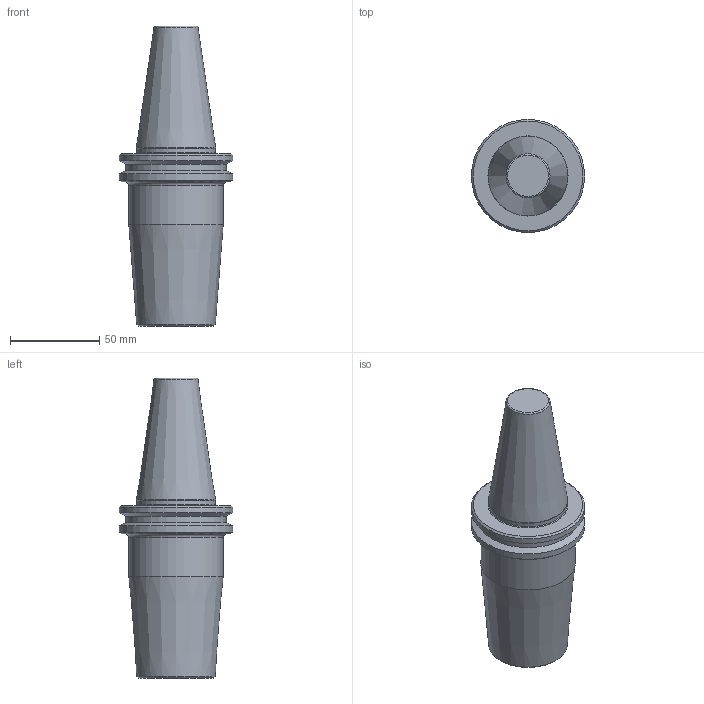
import cadquery as cq
import math

GAUGE_DIAMETER = 44.45
TAPER_RATIO = 7 / 24
TAPER_LENGTH = 68.4
TAPER_END_ROUND = 0.8

NECK_DIAMETER = 44.0
NECK_TOP_Z = -0.4
NECK_FILLET = 0.5

FLANGE_DIAMETER = 63.55
FLANGE_TOP_Z = -3.2
FLANGE_BOTTOM_Z = -19.1
FLANGE_CHAMFER = 1.0
GROOVE_CENTER_Z = -10.9
GROOVE_FLOOR_DIAMETER = 56.25
GROOVE_MOUTH_WIDTH = 7.2
GROOVE_WALL_ANGLE = 26.0

BODY_DIAMETER = 53.0
BODY_FILLET = 2.0
CONE_START_Z = -43.0
NOSE_END_Z = -100.0
NOSE_DIAMETER = 44.0
NOSE_CHAMFER = 0.8


def revolve_profile(points):
    """Turn a closed (radius, z) outline about the Z axis."""
    return cq.Workplane("XZ").polyline(points).close().revolve(360, (0, 0, 0), (0, 1, 0))


def start_flare(radius, fillet, face_z, direction):
    """Start an outline on the axis at a flange face and round it onto a shaft going up (1) or down (-1)."""
    fillet_middle = fillet * (1 - math.sqrt(0.5))
    return (
        cq.Workplane("XZ")
        .moveTo(0, face_z)
        .lineTo(radius + fillet, face_z)
        .threePointArc(
            (radius + fillet_middle, face_z + direction * fillet_middle),
            (radius, face_z + direction * fillet),
        )
    )


def make_taper():
    """Steep taper with a rounded small end."""
    gauge_radius = GAUGE_DIAMETER / 2
    end_radius = gauge_radius - TAPER_LENGTH * TAPER_RATIO / 2
    taper = revolve_profile([
        (0, NECK_TOP_Z),
        (NECK_DIAMETER / 2, NECK_TOP_Z),
        (gauge_radius, 0),
        (end_radius, TAPER_LENGTH),
        (0, TAPER_LENGTH),
    ])
    return taper.faces(">Z").edges().fillet(TAPER_END_ROUND)


def make_neck():
    """Relieved cylinder under the taper, flared into the flange by a fillet."""
    neck_radius = NECK_DIAMETER / 2
    return (
        start_flare(neck_radius, NECK_FILLET, FLANGE_TOP_Z, 1)
        .lineTo(neck_radius, NECK_TOP_Z)
        .lineTo(0, NECK_TOP_Z)
        .close()
        .revolve(360, (0, 0, 0), (0, 1, 0))
    )


def make_flange():
    """Chamfered disc with a V-shaped gripper groove around its rim."""
    radius = FLANGE_DIAMETER / 2
    height = FLANGE_TOP_Z - FLANGE_BOTTOM_Z
    disc = cq.Workplane("XY").workplane(offset=FLANGE_BOTTOM_Z).circle(radius).extrude(height)
    disc = disc.edges().chamfer(FLANGE_CHAMFER)

    floor_radius = GROOVE_FLOOR_DIAMETER / 2
    mouth_half = GROOVE_MOUTH_WIDTH / 2
    floor_half = mouth_half - (radius - floor_radius) * math.tan(math.radians(GROOVE_WALL_ANGLE))
    groove = revolve_profile([
        (floor_radius, GROOVE_CENTER_Z - floor_half),
        (radius, GROOVE_CENTER_Z - mouth_half),
        (radius, GROOVE_CENTER_Z + mouth_half),
        (floor_radius, GROOVE_CENTER_Z + floor_half),
    ])
    return disc.cut(groove)


def make_nose():
    """Cylindrical body, flared into the flange by a fillet, then a cone with a chamfered end."""
    body_radius = BODY_DIAMETER / 2
    nose = (
        start_flare(body_radius, BODY_FILLET, FLANGE_BOTTOM_Z, -1)
        .lineTo(body_radius, CONE_START_Z)
        .lineTo(NOSE_DIAMETER / 2, NOSE_END_Z)
        .lineTo(0, NOSE_END_Z)
        .close()
        .revolve(360, (0, 0, 0), (0, 1, 0))
    )
    return nose.faces("<Z").edges().chamfer(NOSE_CHAMFER)


result = make_flange().union(make_neck()).union(make_taper()).union(make_nose())